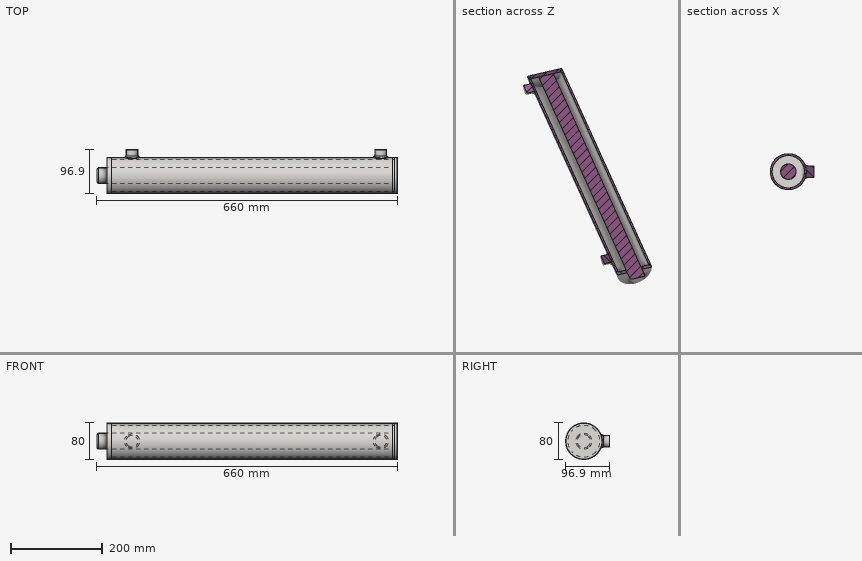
import cadquery as cq


outer_diameter = 80.0
bore_diameter = 70.0
body_length = 638.0
head_thickness = 10.0
cap_thickness = 7.0
cap_weld_width = 4.0

rod_diameter = 35.0
rod_protrusion = 22.0
rod_chamfer = 3.0

port_diameter = 26.0
port_end_y = 56.89
port_from_head = 55.0
port_from_cap = 36.5

port_weld_top_y = 43.4
port_weld_depth = 8.0
port_weld_flare_x = 8.5
port_weld_flare_z = 3.0

port_radius = port_diameter / 2
cap_start = body_length - cap_thickness
barrel_end = cap_start - cap_weld_width
barrel_length = barrel_end - head_thickness
port_places = [port_from_head, body_length - port_from_cap]


def disc(start_x, length, diameter):
    """Solid cylinder on the X axis, from start_x towards +X."""
    return cq.Workplane("YZ", origin=(start_x, 0, 0)).circle(diameter / 2).extrude(length)


def ring(start_x, length):
    """Ring on the X axis with the barrel's outer and bore diameters."""
    return disc(start_x, length, outer_diameter).cut(disc(start_x, length, bore_diameter))


def make_barrel():
    return ring(head_thickness, barrel_length)


def make_head():
    plate = disc(0, head_thickness, outer_diameter)
    return plate.cut(disc(0, head_thickness, rod_diameter))


def make_cap():
    """End plate with a spigot that fills the weld ring."""
    plate = disc(cap_start, cap_thickness, outer_diameter)
    return plate.union(disc(barrel_end, cap_weld_width, bore_diameter))


def make_cap_weld():
    return ring(barrel_end, cap_weld_width)


def make_rod():
    """Rod through the head, reaching the inner face of the cap."""
    rod = disc(-rod_protrusion, rod_protrusion + barrel_end, rod_diameter)
    return rod.faces("<X").chamfer(rod_chamfer)


def port_core(port_x):
    """Solid round from the cylinder's axis out to the port's end."""
    return cq.Workplane("XZ", origin=(port_x, 0, 0)).circle(port_radius).extrude(-port_end_y)


def make_port(port_x):
    """Round stub whose foot is shaped to the outside of the barrel."""
    return port_core(port_x).cut(disc(0, body_length, outer_diameter))


def make_port_weld(port_x):
    """Weld bead around the foot of a port, flaring from the port's wall out to the barrel."""
    bead = (
        cq.Workplane("XZ", origin=(port_x, port_weld_top_y, 0))
        .circle(port_radius)
        .workplane(offset=port_weld_depth)
        .ellipse(port_radius + port_weld_flare_x, port_radius + port_weld_flare_z)
        .loft(ruled=True)
    )
    return bead.cut(port_core(port_x)).cut(disc(0, body_length, outer_diameter))


barrel = make_barrel()
head = make_head()
cap = make_cap()
cap_weld = make_cap_weld()
rod = make_rod()
ports = [make_port(port_x) for port_x in port_places]
port_welds = [make_port_weld(port_x) for port_x in port_places]

bodies = [barrel, head, cap, cap_weld, rod, *ports, *port_welds]
result = cq.Compound.makeCompound([solid for body in bodies for solid in body.solids().vals()])